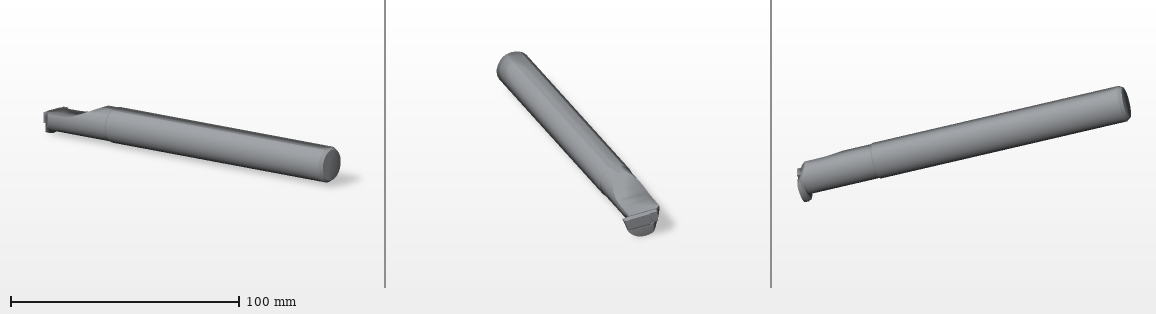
import cadquery as cq
import math

LENGTH = 150.0
SHANK_RADIUS = 8.02
NECK_RADIUS = 7.6
SHOULDER_X = 35.0
SHOULDER_LENGTH = 0.6
REAR_CHAMFER_LENGTH = 1.6
REAR_CHAMFER_DEPTH = 1.0
FLAT_HEIGHT = 7.4

HEAD_RADIUS = 9.3
HEAD_CENTRE_Y = 1.6
HEAD_CENTRE_Z = -0.2
HEAD_RIM = 1.6
HEAD_BACK_CONE = 1.0
HEAD_BEVEL_Y = -2.8
HEAD_BEVEL = 6.8

TIP_Y = 11.02
TIP_Z = 0.0
TILT = 4.5
NECK_FACE_RISE = 0.3

RAMP_BEND_X = 16.4
RAMP_ANGLE = 25.0
RAMP_LENGTH = 21.0

INSERT_WIDTH = 2.7
INSERT_END_Y = -5.0
STEP_Y = -1.0
STEP_DEPTH = 0.52
INSERT_THICKNESS = 4.8
KEY_DEPTH = 0.8
KEY_BEVEL = 0.3
FLANK_SET_BACK = 1.5
CHIP_LAND = 1.2
CHIP_GROOVE_END = 2.8
CHIP_GROOVE_DEPTH = 0.22

REACH = 45.0


def tilted(shape):
    """Turn a shape about the cutting tip so that its -Y side rises."""
    return shape.rotate((0, TIP_Y, TIP_Z), (1, TIP_Y, TIP_Z), -TILT)


def make_bar():
    profile = [
        (0, 0),
        (0, NECK_RADIUS),
        (SHOULDER_X, NECK_RADIUS),
        (SHOULDER_X + SHOULDER_LENGTH, SHANK_RADIUS),
        (LENGTH - REAR_CHAMFER_LENGTH, SHANK_RADIUS),
        (LENGTH, SHANK_RADIUS - REAR_CHAMFER_DEPTH),
        (LENGTH, 0),
    ]
    bar = cq.Workplane("XY").polyline(profile).close().revolve(360, (0, 0), (1, 0))
    above_flat = (
        cq.Workplane("XY").workplane(offset=FLAT_HEIGHT)
        .center(LENGTH / 2, 0).rect(2 * LENGTH, REACH).extrude(REACH)
    )
    return bar.cut(above_flat)


def make_head():
    profile = [
        (0, 0),
        (0, HEAD_RADIUS),
        (HEAD_RIM, HEAD_RADIUS),
        (HEAD_RIM + HEAD_BACK_CONE, HEAD_RADIUS - HEAD_BACK_CONE),
        (HEAD_RIM + HEAD_BACK_CONE, 0),
    ]
    disc = cq.Workplane("XY").polyline(profile).close().revolve(360, (0, 0), (1, 0))
    return disc.translate((0, HEAD_CENTRE_Y, HEAD_CENTRE_Z))


def make_front_bevel():
    """45-degree cutter for the -Y front corner of the head and neck."""
    corner = [
        (0, HEAD_BEVEL_Y),
        (HEAD_BEVEL, HEAD_BEVEL_Y - HEAD_BEVEL),
        (0, HEAD_BEVEL_Y - HEAD_BEVEL),
    ]
    return cq.Workplane("XY").polyline(corner).close().extrude(REACH, both=True)


def make_neck_cutter():
    """Space over the neck face, which curves smoothly from level up to the ramp angle."""
    face_z = TIP_Z + NECK_FACE_RISE
    front = (-1.5, face_z)
    bend = (RAMP_BEND_X, face_z)
    ramp_height = RAMP_LENGTH * math.tan(math.radians(RAMP_ANGLE))
    ramp_top = (RAMP_BEND_X + RAMP_LENGTH, face_z + ramp_height)
    cutter = (
        cq.Workplane("XZ")
        .moveTo(*front)
        .bezier([front, bend, bend, bend, ramp_top])
        .lineTo(front[0], ramp_top[1])
        .close()
        .extrude(2 * REACH)
        .translate((0, REACH, 0))
    )
    return tilted(cutter)


def make_seat_cutter():
    """Space in front of the neck and over the insert seat, open on top and at both sides."""
    floor_z = TIP_Z - INSERT_THICKNESS
    key_z = floor_z - KEY_DEPTH
    outline = [
        (REACH, key_z),
        (STEP_Y, key_z),
        (STEP_Y - KEY_DEPTH, floor_z),
        (-REACH, floor_z),
        (-REACH, REACH),
        (REACH, REACH),
    ]
    return tilted(cq.Workplane("YZ").polyline(outline).close().extrude(INSERT_WIDTH))


def make_holder():
    holder = make_bar().union(make_head())
    holder = holder.cut(make_front_bevel())
    holder = holder.cut(make_neck_cutter())
    return holder.cut(make_seat_cutter())


def make_insert():
    floor_z = TIP_Z - INSERT_THICKNESS
    key_z = floor_z - KEY_DEPTH
    key_y = TIP_Y - FLANK_SET_BACK * (TIP_Z - key_z) / INSERT_THICKNESS
    outline = [
        (TIP_Y, TIP_Z),
        (TIP_Y - CHIP_LAND, TIP_Z - CHIP_GROOVE_DEPTH),
        (TIP_Y - CHIP_GROOVE_END, TIP_Z),
        (INSERT_END_Y, TIP_Z),
        (INSERT_END_Y, floor_z),
        (STEP_Y - KEY_DEPTH, floor_z),
        (STEP_Y, key_z),
        (key_y, key_z),
    ]
    insert = cq.Workplane("YZ").polyline(outline).close().extrude(INSERT_WIDTH)

    front_step = cq.Workplane("XY").box(STEP_DEPTH, REACH, REACH, centered=(False, False, True))
    insert = insert.cut(front_step.translate((0, STEP_Y - REACH, 0)))

    bevel = (
        cq.Workplane("XZ")
        .polyline([(0, floor_z), (KEY_BEVEL, key_z), (0, key_z)])
        .close()
        .extrude(REACH, both=True)
    )
    return tilted(insert.cut(bevel))


holder = make_holder()
insert = make_insert()

result = cq.Compound.makeCompound([holder.solids().val(), insert.solids().val()])